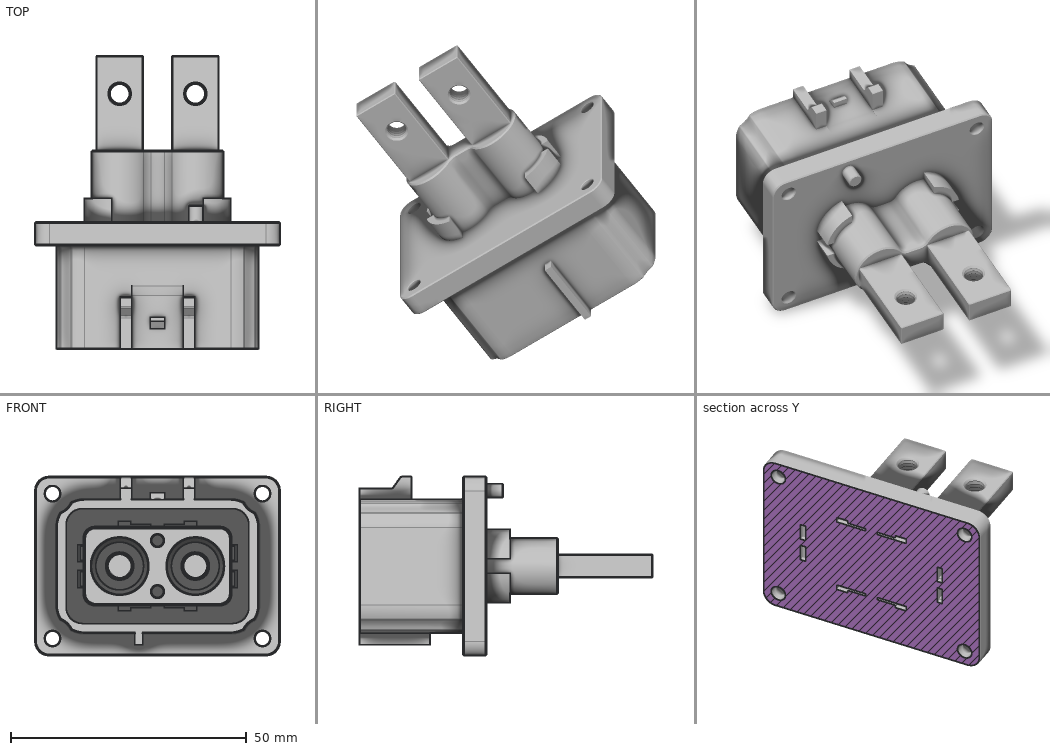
import cadquery as cq
import math


FLANGE_WIDTH, FLANGE_HEIGHT, FLANGE_THICKNESS = 52.0, 38.0, 5.05
FLANGE_CORNER_RADIUS = 3.05
FLANGE_EDGE_CHAMFER = 0.25
MOUNT_HOLE_DIAMETER = 3.2
MOUNT_HOLE_CHAMFER = 0.1
MOUNT_HOLE_X, MOUNT_HOLE_Z = 22.25, 15.35

SHELL_WIDTH, SHELL_HEIGHT, SHELL_LENGTH = 43.0, 28.4, 21.95
SHELL_CORNER_RADIUS = 6.0
SCREW_CLEARANCE_RADIUS = 4.35
SCREW_CLEARANCE_BLEND = 0.55
SHELL_ROOT_FILLET = 0.2
SHELL_RIM_CHAMFER = 0.2
CAVITY_WIDTH, CAVITY_HEIGHT = 38.75, 24.4
CAVITY_CORNER_RADIUS = 3.5
RIM_Y = -SHELL_LENGTH

INSERT_WIDTH, INSERT_HEIGHT = 31.5, 16.8
INSERT_CORNER_RADIUS = 2.5
INSERT_EDGE_CHAMFER = 0.2
INSERT_DRAFT = 0.25
POLE_X = 8.0
CUP_DIAMETER, CUP_FLOOR_DIAMETER = 12.0, 10.15
CUP_CONE_HEIGHT = 0.95
CUP_EDGE_CHAMFER = 0.2
PIN_DIAMETER, PIN_TIP_DIAMETER = 5.5, 5.0
PIN_COLLAR_DIAMETER, PIN_COLLAR_LENGTH = 6.0, 1.0
PIN_SETBACK = 1.25
GUIDE_HOLE_DIAMETER, GUIDE_HOLE_MOUTH_DIAMETER = 2.5, 2.85
GUIDE_HOLE_DEPTH = 9.95
GUIDE_HOLE_Z = 5.4

POCKET_DEPTH = 1.0
CLIP_WIDTH, CLIP_LENGTH, CLIP_Z = 1.2, 3.7, 2.75
CLIP_SLOT_WIDTH, CLIP_SLOT_LENGTH = 0.6, 3.0
LATCH_INNER_X, LATCH_STEP_X, LATCH_OUTER_X = 1.4, 5.7, 8.3
LATCH_LOW_HEIGHT, LATCH_HIGH_HEIGHT = 0.45, 1.05

RAIL_INNER_X, RAIL_WIDTH, RAIL_LENGTH = 5.5, 2.4, 11.1
RAIL_LOW_Z = 16.5
RAIL_SLOPE_START, RAIL_SLOPE_END = 7.0, 8.85
RAIL_BLEND = 0.6
RAIL_BACK_CHAMFER = 0.1
RECESS_DEPTH = 0.1
RECESS_FLAT_LENGTH, RECESS_LENGTH = 11.45, 13.5
LUG_WIDTH, LUG_TOP_Z = 3.05, 15.55
LUG_START, LUG_CREST, LUG_END = 4.3, 6.0, 6.8

KEY_X, KEY_WIDTH, KEY_LENGTH = -4.0, 1.6, 15.0
KEY_BOTTOM_Z = -16.75

TUBE_DIAMETER, TUBE_LENGTH = 12.0, 15.2
TUBE_END_CHAMFER = 0.3
WEB_THICKNESS, WEB_FILLET = 5.0, 2.0
COLLAR_X, COLLAR_RADIUS, COLLAR_LENGTH = 7.65, 8.1, 5.0
COLLAR_INNER_X, COLLAR_GAP = 9.7, 3.1
LOCATOR_DIAMETER, LOCATOR_LENGTH, LOCATOR_CHAMFER = 3.0, 3.5, 0.2
LOCATOR_X, LOCATOR_Z = 8.15, 16.0

BLADE_WIDTH, BLADE_THICKNESS, BLADE_LENGTH = 10.0, 5.0, 20.0
BLADE_EDGE_CHAMFER = 0.2
THREAD_MINOR_DIAMETER, THREAD_MAJOR_DIAMETER = 4.1, 4.85
THREAD_TURNS = 6
THREAD_SETBACK = 8.0

REAR_Y = FLANGE_THICKNESS
TUBE_END_Y = REAR_Y + TUBE_LENGTH
BLADE_END_Y = TUBE_END_Y + BLADE_LENGTH

QUADRANTS = [(sx, sz) for sx in (-1, 1) for sz in (-1, 1)]


def at_y(y):
    """Sketch plane across the part at a given Y; sketch axes are X and Z."""
    return cq.Workplane("XZ", origin=(0, y, 0))


def block(x_range, y_range, z_range):
    lows, highs = zip(x_range, y_range, z_range)
    sizes = [high - low for low, high in zip(lows, highs)]
    return cq.Workplane("XY").box(*sizes, centered=False).translate(lows)


def cylinder(x, z, diameter, y_start, y_end):
    return at_y(y_start).center(x, z).circle(diameter / 2).extrude(y_start - y_end)


def rounded_bar(width, height, radius, y_start, y_end):
    bar = at_y(y_start).rect(width, height).extrude(y_start - y_end)
    return bar.edges("|Y").fillet(radius)


def side_profile(points, x_start, width):
    """Extrude an outline of (Y, Z) points along X."""
    return cq.Workplane("YZ", origin=(x_start, 0, 0)).polyline(points).close().extrude(width)


def make_flange():
    flange = rounded_bar(FLANGE_WIDTH, FLANGE_HEIGHT, FLANGE_CORNER_RADIUS, 0, REAR_Y)
    return flange.faces("<Y or >Y").edges().chamfer(FLANGE_EDGE_CHAMFER)


def make_mount_hole(x, z):
    """Through hole, chamfered at both faces of the flange."""
    radius = MOUNT_HOLE_DIAMETER / 2
    mouth = radius + MOUNT_HOLE_CHAMFER
    points = [
        (0, 0),
        (0, mouth),
        (MOUNT_HOLE_CHAMFER, radius),
        (FLANGE_THICKNESS - MOUNT_HOLE_CHAMFER, radius),
        (FLANGE_THICKNESS, mouth),
        (FLANGE_THICKNESS, 0),
    ]
    return revolve_along_y(points).translate((x, 0, z))


def scoop_ends():
    """Points (X, Z) where the screw clearance circle crosses the corner arc of the shell."""
    arc_x = SHELL_WIDTH / 2 - SHELL_CORNER_RADIUS
    arc_z = SHELL_HEIGHT / 2 - SHELL_CORNER_RADIUS
    span = math.hypot(MOUNT_HOLE_X - arc_x, MOUNT_HOLE_Z - arc_z)
    unit_x, unit_z = (MOUNT_HOLE_X - arc_x) / span, (MOUNT_HOLE_Z - arc_z) / span
    along = (span ** 2 + SHELL_CORNER_RADIUS ** 2 - SCREW_CLEARANCE_RADIUS ** 2) / (2 * span)
    across = math.sqrt(SHELL_CORNER_RADIUS ** 2 - along ** 2)
    middle_x, middle_z = arc_x + along * unit_x, arc_z + along * unit_z
    return [(middle_x + side * across * unit_z, middle_z - side * across * unit_x) for side in (-1, 1)]


def make_shell():
    """Rounded bar whose corners are scooped out for the heads of the mounting screws."""
    shell = rounded_bar(SHELL_WIDTH, SHELL_HEIGHT, SHELL_CORNER_RADIUS, RIM_Y, 0)
    for sx, sz in QUADRANTS:
        x, z = sx * MOUNT_HOLE_X, sz * MOUNT_HOLE_Z
        shell = shell.cut(cylinder(x, z, 2 * SCREW_CLEARANCE_RADIUS, RIM_Y, 0))
    for sx, sz in QUADRANTS:
        for x, z in scoop_ends():
            edge = cq.selectors.NearestToPointSelector((sx * x, RIM_Y / 2, sz * z))
            shell = shell.edges("|Y").edges(edge).fillet(SCREW_CLEARANCE_BLEND)
    return shell.faces("<Y").edges().chamfer(SHELL_RIM_CHAMFER)


def make_recess():
    surface = SHELL_HEIGHT / 2
    floor = surface - RECESS_DEPTH
    points = [
        (RIM_Y, floor),
        (RIM_Y + RECESS_FLAT_LENGTH, floor),
        (RIM_Y + RECESS_LENGTH, surface),
        (RIM_Y, surface),
    ]
    return side_profile(points, -RAIL_INNER_X, 2 * RAIL_INNER_X)


def make_rails():
    top = FLANGE_HEIGHT / 2
    base = CAVITY_HEIGHT / 2 + SHELL_RIM_CHAMFER
    points = [
        (RIM_Y, base),
        (RIM_Y, RAIL_LOW_Z),
        (RIM_Y + RAIL_SLOPE_START, RAIL_LOW_Z),
        (RIM_Y + RAIL_SLOPE_END, top),
        (RIM_Y + RAIL_LENGTH, top),
        (RIM_Y + RAIL_LENGTH, base),
    ]
    rail = side_profile(points, RAIL_INNER_X, RAIL_WIDTH)
    middle_x = RAIL_INNER_X + RAIL_WIDTH / 2
    for distance, z in ((RAIL_SLOPE_START, RAIL_LOW_Z), (RAIL_SLOPE_END, top)):
        bend = cq.selectors.NearestToPointSelector((middle_x, RIM_Y + distance, z))
        rail = rail.edges("|X").edges(bend).fillet(RAIL_BLEND)
    back_edge = cq.selectors.NearestToPointSelector((middle_x, RIM_Y + RAIL_LENGTH, top))
    rail = rail.edges("|X").edges(back_edge).chamfer(RAIL_BACK_CHAMFER)
    return rail.union(rail.mirror("YZ"))


def make_lug():
    base = SHELL_HEIGHT / 2 - RECESS_DEPTH
    points = [
        (RIM_Y + LUG_START, base),
        (RIM_Y + LUG_CREST, LUG_TOP_Z),
        (RIM_Y + LUG_END, LUG_TOP_Z),
        (RIM_Y + LUG_END, base),
    ]
    return side_profile(points, -LUG_WIDTH / 2, LUG_WIDTH)


def make_key():
    wall_z = -CAVITY_HEIGHT / 2 - SHELL_RIM_CHAMFER
    x_range = (KEY_X - KEY_WIDTH / 2, KEY_X + KEY_WIDTH / 2)
    return block(x_range, (RIM_Y, RIM_Y + KEY_LENGTH), (KEY_BOTTOM_Z, wall_z))


def make_pockets():
    """Shallow pockets in the cavity floor, mirrored to all four quadrants."""
    side_x = INSERT_WIDTH / 2
    top_z = INSERT_HEIGHT / 2
    depth = (0, POCKET_DEPTH)
    clip_z = (CLIP_Z - CLIP_LENGTH / 2, CLIP_Z + CLIP_LENGTH / 2)
    slot_z = (CLIP_Z - CLIP_SLOT_LENGTH / 2, CLIP_Z + CLIP_SLOT_LENGTH / 2)
    quarter = block((side_x, side_x + CLIP_WIDTH), depth, clip_z)
    quarter = quarter.union(block((side_x, side_x + CLIP_SLOT_WIDTH), (0, 2 * POCKET_DEPTH), slot_z))
    quarter = quarter.union(block((LATCH_INNER_X, LATCH_OUTER_X), depth, (top_z, top_z + LATCH_LOW_HEIGHT)))
    quarter = quarter.union(block((LATCH_STEP_X, LATCH_OUTER_X), depth, (top_z, top_z + LATCH_HIGH_HEIGHT)))
    half = quarter.union(quarter.mirror("YZ"))
    return half.union(half.mirror("XY"))


def make_insert():
    outline = cq.Sketch().rect(INSERT_WIDTH, INSERT_HEIGHT).vertices().fillet(INSERT_CORNER_RADIUS)
    draft_angle = math.degrees(math.atan(INSERT_DRAFT / SHELL_LENGTH))
    insert = at_y(0).placeSketch(outline).extrude(SHELL_LENGTH, taper=draft_angle)
    insert = insert.faces("<Y").edges().chamfer(INSERT_EDGE_CHAMFER)
    for sx in (-1, 1):
        insert = insert.cut(make_cup(sx * POLE_X)).union(make_pin(sx * POLE_X))
    for sz in (-1, 1):
        insert = insert.cut(make_guide_hole(sz * GUIDE_HOLE_Z))
    return insert


def make_cup(x):
    """Round socket with a chamfered mouth and a conical bottom, as deep as the cavity."""
    radius = CUP_DIAMETER / 2
    points = [
        (0, 0),
        (0, radius + CUP_EDGE_CHAMFER),
        (CUP_EDGE_CHAMFER, radius),
        (SHELL_LENGTH - CUP_CONE_HEIGHT, radius),
        (SHELL_LENGTH, CUP_FLOOR_DIAMETER / 2),
        (SHELL_LENGTH, 0),
    ]
    return revolve_along_y(points).translate((x, RIM_Y, 0))


def make_pin(x):
    """Contact pin with a chamfered tip and a low collar around its foot."""
    chamfer = (PIN_DIAMETER - PIN_TIP_DIAMETER) / 2
    pin = cylinder(x, 0, PIN_DIAMETER, RIM_Y + PIN_SETBACK, 0)
    pin = pin.faces("<Y").edges().chamfer(chamfer)
    return pin.union(cylinder(x, 0, PIN_COLLAR_DIAMETER, -PIN_COLLAR_LENGTH, 0))


def make_guide_hole(z):
    chamfer = (GUIDE_HOLE_MOUTH_DIAMETER - GUIDE_HOLE_DIAMETER) / 2
    points = [
        (0, 0),
        (0, GUIDE_HOLE_MOUTH_DIAMETER / 2),
        (chamfer, GUIDE_HOLE_DIAMETER / 2),
        (GUIDE_HOLE_DEPTH, GUIDE_HOLE_DIAMETER / 2),
        (GUIDE_HOLE_DEPTH, 0),
    ]
    return revolve_along_y(points).translate((0, RIM_Y, z))


def revolve_along_y(points):
    """Revolve an outline of (depth, radius) points about the Y axis."""
    outline = [(radius, depth) for depth, radius in points]
    return cq.Workplane("XY").polyline(outline).close().revolve(360, (0, 0), (0, 1))


def make_tubes():
    """Two round tubes joined by a web with concave fillets."""
    tubes = block((-POLE_X, POLE_X), (REAR_Y, TUBE_END_Y), (-WEB_THICKNESS / 2, WEB_THICKNESS / 2))
    for sx in (-1, 1):
        tubes = tubes.union(cylinder(sx * POLE_X, 0, TUBE_DIAMETER, REAR_Y, TUBE_END_Y))
    seam_x = POLE_X - math.sqrt((TUBE_DIAMETER / 2) ** 2 - (WEB_THICKNESS / 2) ** 2)
    seams = cq.selectors.BoxSelector(
        (-seam_x - 0.05, REAR_Y, -WEB_THICKNESS), (seam_x + 0.05, TUBE_END_Y, WEB_THICKNESS)
    )
    tubes = tubes.edges("|Y").edges(seams).fillet(WEB_FILLET)
    return tubes.faces(">Y").edges().chamfer(TUBE_END_CHAMFER)


def make_collars():
    """Four collar segments hugging the outer sides of the tubes."""
    disc = cylinder(COLLAR_X, 0, 2 * COLLAR_RADIUS, REAR_Y, REAR_Y + COLLAR_LENGTH)
    kept = block(
        (COLLAR_INNER_X, FLANGE_WIDTH / 2),
        (REAR_Y, REAR_Y + COLLAR_LENGTH),
        (COLLAR_GAP / 2, FLANGE_HEIGHT / 2),
    )
    segment = disc.intersect(kept)
    pair = segment.union(segment.mirror("YZ"))
    return pair.union(pair.mirror("XY"))


def make_locator():
    locator = cylinder(LOCATOR_X, LOCATOR_Z, LOCATOR_DIAMETER, REAR_Y, REAR_Y + LOCATOR_LENGTH)
    return locator.faces(">Y").edges().chamfer(LOCATOR_CHAMFER)


def make_blade(x):
    blade = block(
        (x - BLADE_WIDTH / 2, x + BLADE_WIDTH / 2),
        (TUBE_END_Y, BLADE_END_Y),
        (-BLADE_THICKNESS / 2, BLADE_THICKNESS / 2),
    )
    blade = blade.edges("not <Y").chamfer(BLADE_EDGE_CHAMFER)
    return blade.cut(make_thread().translate((x, BLADE_END_Y - THREAD_SETBACK, 0)))


def make_thread():
    """Through hole whose thread is a stack of V-shaped rings, widest at both faces."""
    pitch = BLADE_THICKNESS / THREAD_TURNS
    bottom = -BLADE_THICKNESS / 2
    root, crest = THREAD_MAJOR_DIAMETER / 2, THREAD_MINOR_DIAMETER / 2
    outline = [(0, bottom), (root, bottom)]
    for turn in range(THREAD_TURNS):
        outline.append((crest, bottom + (turn + 0.5) * pitch))
        outline.append((root, bottom + (turn + 1) * pitch))
    outline.append((0, -bottom))
    return cq.Workplane("XZ").polyline(outline).close().revolve(360, (0, 0), (0, 1))


body = make_flange().union(make_shell())
root_edges = cq.selectors.BoxSelector(
    (-SHELL_WIDTH / 2 - 0.05, -0.05, -SHELL_HEIGHT / 2 - 0.05),
    (SHELL_WIDTH / 2 + 0.05, 0.05, SHELL_HEIGHT / 2 + 0.05),
)
body = body.edges(root_edges).fillet(SHELL_ROOT_FILLET)
body = body.cut(make_recess()).union(make_rails()).union(make_lug()).union(make_key())
body = body.cut(rounded_bar(CAVITY_WIDTH, CAVITY_HEIGHT, CAVITY_CORNER_RADIUS, RIM_Y, 0))
body = body.cut(make_pockets()).union(make_insert())
for side_x, side_z in QUADRANTS:
    body = body.cut(make_mount_hole(side_x * MOUNT_HOLE_X, side_z * MOUNT_HOLE_Z))
body = body.union(make_tubes()).union(make_collars()).union(make_locator())
for side in (-1, 1):
    body = body.union(make_blade(side * POLE_X))

result = body